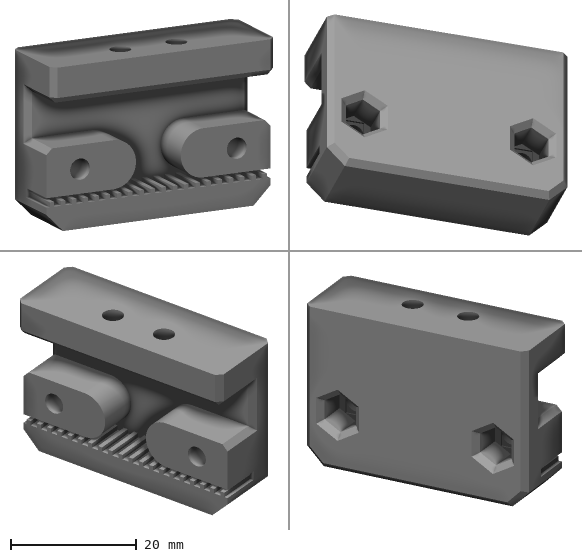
import cadquery as cq
import math

length = 40.0
height = 27.6
upper_arm_reach = 14.0
lower_arm_reach = 12.0
spine_thickness = 5.0
edge_chamfer = 1.0
bottom_corner_chamfer = 3.0

upper_arm_thickness = 6.0
upper_arm_bottom = height - upper_arm_thickness
bolt_height = 9.8
nose_radius = 4.05
lower_arm_top = bolt_height + nose_radius

slot_top = bolt_height - nose_radius
slot_floor = 5.0
groove_floor = 4.2
groove_width = 1.2
tooth_pitch = 2.0
nose_gap = 8.0

hole_diameter = 3.5
arm_hole_spacing = 10.0
arm_hole_x = (spine_thickness + lower_arm_reach) / 2
bolt_spacing = 28.0
nut_across_flats = 5.7
nut_pocket_depth = 6.0
bridge_step = 0.3

half_length = length / 2


def box(x_range, y_range, z_range):
    """Axis-aligned box from its (low, high) limits on each axis."""
    (x0, x1), (y0, y1), (z0, z1) = x_range, y_range, z_range
    return cq.Workplane("XY").box(x1 - x0, y1 - y0, z1 - z0, centered=False).translate((x0, y0, z0))


def hexagon(across_flats):
    """Hexagon outline on the -X face, with two corners pointing up and down."""
    corner_radius = across_flats / math.sqrt(3)
    angles = [math.radians(90 + 60 * i) for i in range(6)]
    corners = [(corner_radius * math.cos(a), corner_radius * math.sin(a)) for a in angles]
    return cq.Workplane("YZ").polyline(corners).close()


def make_outer_block():
    """Block with cut bottom corners, chamfered around its -X face except along the top."""
    block = box((0, upper_arm_reach), (-half_length, half_length), (0, height))
    block = block.edges("|X and <Z").chamfer(bottom_corner_chamfer)
    return block.edges("<X and (not >Z)").chamfer(edge_chamfer)


def make_body():
    """Spine and two arms, with the edges around the opening between the arms chamfered."""
    y_range = (-half_length, half_length)
    spine = box((0, spine_thickness), y_range, (0, height))
    spine = spine.edges("|Z and >X").chamfer(edge_chamfer)

    upper_arm = box((0, upper_arm_reach), y_range, (upper_arm_bottom, height))
    upper_arm = upper_arm.edges("(|X and <Z) or (|Y and <Z and >X) or (|Z and >X)").chamfer(edge_chamfer)

    lower_arm = box((0, lower_arm_reach), y_range, (0, lower_arm_top))
    lower_arm = lower_arm.edges("|X and >Z").chamfer(edge_chamfer)

    return spine.union(upper_arm).union(lower_arm).intersect(make_outer_block())


def make_belt_path():
    """Toothed slot along Y and the gap between the two rounded noses."""
    x_range = (spine_thickness, lower_arm_reach)
    path = box(x_range, (-half_length, half_length), (slot_floor, slot_top))

    nose_tip = nose_gap / 2
    nose_center = nose_tip + nose_radius
    gap = (
        cq.Workplane("YZ", origin=(spine_thickness, 0, 0))
        .moveTo(-nose_center, slot_top)
        .threePointArc((-nose_tip, bolt_height), (-nose_center, lower_arm_top))
        .lineTo(nose_center, lower_arm_top)
        .threePointArc((nose_tip, bolt_height), (nose_center, slot_top))
        .close()
        .extrude(lower_arm_reach - spine_thickness)
    )
    path = path.union(gap)

    pitches_per_side = int(half_length / tooth_pitch)
    for i in range(-pitches_per_side, pitches_per_side + 1):
        y = i * tooth_pitch
        y_range = (y - groove_width / 2, y + groove_width / 2)
        path = path.union(box(x_range, y_range, (groove_floor, slot_top)))
    return path


def make_arm_hole(y):
    """Vertical hole through the upper arm."""
    return (
        cq.Workplane("XY", origin=(arm_hole_x, y, upper_arm_bottom))
        .circle(hole_diameter / 2)
        .extrude(upper_arm_thickness)
    )


def make_bolt_hole(y):
    """Bolt hole along X with a chamfered nut pocket on the -X face."""
    pocket = hexagon(nut_across_flats).extrude(nut_pocket_depth)
    mouth = hexagon(nut_across_flats + 2 * edge_chamfer).extrude(edge_chamfer, taper=45)
    step_height = 2 * (nut_across_flats - hole_diameter / 2) / math.sqrt(3)
    step = box(
        (nut_pocket_depth, nut_pocket_depth + bridge_step),
        (-hole_diameter / 2, hole_diameter / 2),
        (-step_height / 2, step_height / 2),
    )
    bolt = cq.Workplane("YZ").circle(hole_diameter / 2).extrude(lower_arm_reach)
    return pocket.union(mouth).union(step).union(bolt).translate((0, y, bolt_height))


result = make_body().cut(make_belt_path())
for side in (-1, 1):
    result = result.cut(make_arm_hole(side * arm_hole_spacing / 2))
    result = result.cut(make_bolt_hole(side * bolt_spacing / 2))